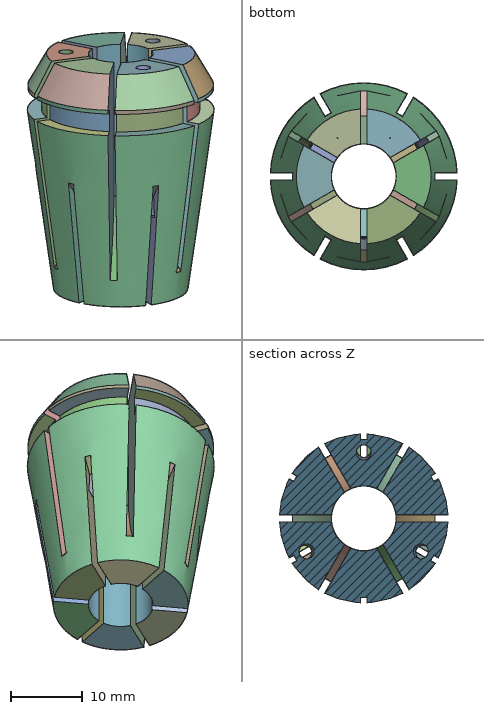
import cadquery as cq
import math

height = 34.0
body_diameter = 26.0
body_top_radius = body_diameter / 2
body_taper = 8.0
body_top_z = 25.87
groove_radius = 11.0
groove_top_z = 28.97
flange_radius = 12.92
flange_top_z = 29.5
nose_angle = 30.0
bore_radius = 4.5

cuts_per_end = 6
half_pitch = 180 / cuts_per_end
saw_radius = 22.45
upper_cut_width = 1.0
upper_cut_floor_z = 4.0
upper_saw_axis_distance = 26.45
lower_cut_width = 0.85
lower_cut_roof_z = 18.0
lower_saw_axis_distance = 28.15
lower_cut_step_z = 13.12
cut_outer_radius = 13.6

hole_count = 3
first_hole_angle = 90
hole_diameter = 2.0
hole_circle_radius = 7.65
hole_tilt = 5.1
hole_depth = 21.2


def body_radius(z):
    return body_top_radius - (body_top_z - z) * math.tan(math.radians(body_taper))


def turned_body():
    top_radius = flange_radius - (height - flange_top_z) * math.tan(math.radians(nose_angle))
    outline = [
        (bore_radius, 0),
        (body_radius(0), 0),
        (body_top_radius, body_top_z),
        (groove_radius, body_top_z),
        (groove_radius, groove_top_z),
        (flange_radius, groove_top_z),
        (flange_radius, flange_top_z),
        (top_radius, height),
        (bore_radius, height),
    ]
    return cq.Workplane("XZ").polyline(outline).close().revolve(360, (0, 0), (0, 1))


def saw_rim_height(radius, axis_distance):
    """Height between the saw axis and its rim, at a given distance from the part axis."""
    return math.sqrt(saw_radius**2 - (axis_distance - radius) ** 2)


def upper_cut():
    """One radial cut open at the top, with an arc floor that drops from the bore outward."""
    runout_radius = body_radius(upper_cut_floor_z)
    saw_z = upper_cut_floor_z + saw_rim_height(runout_radius, upper_saw_axis_distance)

    def floor_point(radius):
        return radius, saw_z - saw_rim_height(radius, upper_saw_axis_distance)

    inner_radius = upper_saw_axis_distance - saw_radius
    middle_radius = (inner_radius + cut_outer_radius) / 2
    side = (
        cq.Workplane("XZ")
        .moveTo(inner_radius, height)
        .lineTo(inner_radius, saw_z)
        .threePointArc(floor_point(middle_radius), floor_point(cut_outer_radius))
        .lineTo(cut_outer_radius, height)
        .close()
    )
    return side.extrude(upper_cut_width / 2, both=True)


def lower_cut():
    """One radial cut open at the bottom, with an arc roof that steps flat into the bore."""
    runout_radius = body_radius(lower_cut_roof_z)
    saw_z = lower_cut_roof_z - saw_rim_height(runout_radius, lower_saw_axis_distance)

    def roof_point(radius):
        return radius, saw_z + saw_rim_height(radius, lower_saw_axis_distance)

    step_above_saw = lower_cut_step_z - saw_z
    step_radius = lower_saw_axis_distance - math.sqrt(saw_radius**2 - step_above_saw**2)
    middle_radius = (step_radius + cut_outer_radius) / 2
    side = (
        cq.Workplane("XZ")
        .lineTo(0, lower_cut_step_z)
        .lineTo(step_radius, lower_cut_step_z)
        .threePointArc(roof_point(middle_radius), roof_point(cut_outer_radius))
        .lineTo(cut_outer_radius, 0)
        .close()
    )
    return side.extrude(lower_cut_width / 2, both=True)


def coolant_hole():
    """One blind hole from the top face, leaning outward on the way down."""
    slanted = cq.Plane(origin=(hole_circle_radius, 0, height)).rotated((0, -hole_tilt, 0))
    drill_start = cq.Workplane(slanted).workplane(offset=hole_diameter)
    return drill_start.circle(hole_diameter / 2).extrude(-(hole_depth + hole_diameter))


def around(tool, first_angle, count):
    """Copies of a tool spaced evenly about the part axis."""
    return [tool.rotate((0, 0, 0), (0, 0, 1), first_angle + i * 360 / count) for i in range(count)]


result = turned_body()
for cut in around(upper_cut(), 0, cuts_per_end):
    result = result.cut(cut)
for cut in around(lower_cut(), half_pitch, cuts_per_end):
    result = result.cut(cut)
for hole in around(coolant_hole(), first_hole_angle, hole_count):
    result = result.cut(hole)